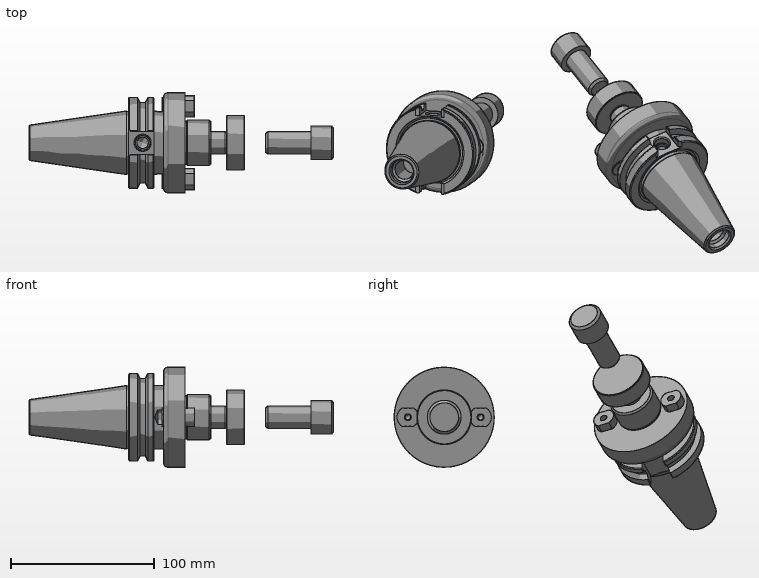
import cadquery as cq
import math


overall_length = 212.46

gauge_diameter = 44.45
taper_length = 68.25
taper_ratio = 7 / 24
small_diameter = gauge_diameter - taper_length * taper_ratio
small_end_chamfer = 0.9

grip_start = 69.4
grip_end = 87.3
grip_diameter = 63.5
grip_chamfer = 0.7
groove_centre = 79.35
groove_diameter = 56.36
groove_floor_width = 3.7
groove_mouth_width = 7.4
relief_diameter = 49.6
relief_floor_diameter = 46.8
relief_depth = 1.4
relief_neck_diameter = 43.8

slot_width = 16.0
slot_upper_floor = 24.9
slot_lower_floor = 22.5
slot_lead_in_side = 2.5
slot_lead_in_length = 1.5
slot_edge_chamfer = 0.6

slot_hole_diameter = 10.13
slot_hole_mouth = 11.94
slot_hole_depth = 5.5
slot_hole_pilot_diameter = 8.0
slot_hole_pilot_depth = 8.0
countersink_half_angle = 45
drill_half_angle = 59

collar_start = 93.9
collar_end = 108.9
collar_diameter = 69.85
collar_fillet = 3.2
pilot_end = 126.9
pilot_diameter = 31.74
pilot_groove_diameter = 30.22
pilot_groove_width = 1.0
pilot_back_chamfer_length = 0.7
pilot_chamfer = 1.2

bore_mouth_diameter = 18.2
bore_diameter = 16.46
bore_thread_diameter = 13.39
bore_chamfer_length = 1.5
bore_step = 5.5
bore_cone_end = 7.0
bore_depth = 28.0

key_offset = 25.35
key_head_diameter = 15.0
key_flat_width = 12.69
key_end = 115.3
key_stem_diameter = 12.69
key_stem_start = 92.9
key_hole_diameter = 4.83
key_drill_start = 90.0

lock_head_start = 137.7
lock_head_end = 150.4
lock_head_diameter = 38.1
lock_head_chamfer = 0.5
lock_shank_diameter = 15.75
lock_shank_length = 25.4
lock_undercut_diameter = 15.0
lock_undercut_width = 1.0

cap_head_length = 15.88
cap_head_diameter = 23.62
cap_head_chamfer_length = 1.5
cap_head_end_diameter = 20.0
cap_start = 164.8
cap_shank_diameter = 15.88
cap_tip_diameter = 12.69
cap_tip_length = 1.7


def turned(profile):
    """Solid of revolution about X from (x, radius) points; the axis closes the profile."""
    first_x, first_r = profile[0]
    last_x, last_r = profile[-1]
    points = list(profile)
    if first_r > 0:
        points.insert(0, (first_x, 0))
    if last_r > 0:
        points.append((last_x, 0))
    return cq.Workplane("XY").polyline(points).close().revolve(360, (0, 0, 0), (1, 0, 0))


def cylinder(start, end, diameter):
    return turned([(start, diameter / 2), (end, diameter / 2)])


def taper_body():
    """Taper, undercut neck inside the flange recess, and the straight core up to the collar."""
    r = small_diameter / 2
    relief_end = grip_start + relief_depth
    return turned([
        (0, r - small_end_chamfer),
        (small_end_chamfer, r + small_end_chamfer * taper_ratio / 2),
        (taper_length, gauge_diameter / 2),
        (taper_length, relief_neck_diameter / 2),
        (relief_end, relief_neck_diameter / 2),
        (relief_end, gauge_diameter / 2),
        (collar_start, gauge_diameter / 2),
    ])


def drive_slot(floor, side):
    """Slot cutter on the +Z (side = 1) or -Z (side = -1) flank, widened at its taper end."""
    half = slot_width / 2
    wide = half + slot_lead_in_side
    lead_in_end = grip_start + slot_lead_in_length
    outline = [
        (grip_start, -wide), (lead_in_end, -half), (grip_end, -half),
        (grip_end, half), (lead_in_end, half), (grip_start, wide),
    ]
    slot_plane = cq.Workplane("XY", origin=(0, 0, side * floor))
    slot = slot_plane.polyline(outline).close().extrude(side * (grip_diameter / 2 - floor))
    return slot.union(slot_edge_chamfers(side))


def slot_edge_chamfers(side):
    """Wedge along X whose 45 degree flanks bevel both outer edges of a drive slot."""
    grip_r = grip_diameter / 2
    bevel_y = slot_width / 2 + slot_edge_chamfer
    bevel_z = math.sqrt(grip_r ** 2 - bevel_y ** 2)
    rise = grip_r - bevel_z
    top_y = bevel_y + rise
    bottom_y = slot_width / 2
    bottom_z = bevel_z - slot_edge_chamfer
    outline = [
        (-bottom_y, side * bottom_z), (bottom_y, side * bottom_z),
        (top_y, side * grip_r), (-top_y, side * grip_r),
    ]
    wedge = cq.Workplane("YZ", origin=(grip_start, 0, 0)).polyline(outline).close()
    return wedge.extrude(grip_end - grip_start)


def grip_flange():
    r = grip_diameter / 2
    groove_r = groove_diameter / 2
    flange = turned([
        (grip_start, r - grip_chamfer),
        (grip_start + grip_chamfer, r),
        (groove_centre - groove_mouth_width / 2, r),
        (groove_centre - groove_floor_width / 2, groove_r),
        (groove_centre + groove_floor_width / 2, groove_r),
        (groove_centre + groove_mouth_width / 2, r),
        (grip_end - grip_chamfer, r),
        (grip_end, r - grip_chamfer),
    ])
    relief = turned([
        (grip_start, relief_diameter / 2),
        (grip_start + relief_depth, relief_floor_diameter / 2),
    ])
    flange = flange.cut(relief)
    flange = flange.cut(drive_slot(slot_upper_floor, 1))
    return flange.cut(drive_slot(slot_lower_floor, -1))


def collar():
    blank = cylinder(collar_start, collar_end, collar_diameter)
    return blank.faces("<X").edges().fillet(collar_fillet)


def cutter_pilot():
    groove_end = collar_end + pilot_groove_width
    pilot_r = pilot_diameter / 2
    return turned([
        (collar_end, pilot_groove_diameter / 2),
        (groove_end, pilot_groove_diameter / 2),
        (groove_end + pilot_back_chamfer_length, pilot_r),
        (pilot_end - pilot_chamfer, pilot_r),
        (pilot_end, pilot_r - pilot_chamfer),
    ])


def drawbar_bore():
    return turned([
        (0, bore_mouth_diameter / 2),
        (bore_chamfer_length, bore_diameter / 2),
        (bore_step, bore_diameter / 2),
        (bore_cone_end, bore_thread_diameter / 2),
        (bore_depth, bore_thread_diameter / 2),
    ])


def slot_hole():
    """Hole turned about a vertical axis: countersink, bore, smaller bore and drill point."""
    mouth_r = slot_hole_mouth / 2
    r = slot_hole_diameter / 2
    pilot_r = slot_hole_pilot_diameter / 2
    countersink_depth = (mouth_r - r) / math.tan(math.radians(countersink_half_angle))
    tip_depth = slot_hole_pilot_depth + pilot_r / math.tan(math.radians(drill_half_angle))
    profile = [
        (0, 0), (mouth_r, 0), (r, -countersink_depth), (r, -slot_hole_depth),
        (pilot_r, -slot_hole_depth), (pilot_r, -slot_hole_pilot_depth), (0, -tip_depth),
    ]
    cutter = cq.Workplane("XZ").polyline(profile).close().revolve(360, (0, 0, 0), (0, 1, 0))
    return cutter.translate((groove_centre, 0, slot_upper_floor))


def key_stem_hole(side):
    """Hole drilled from the front of the collar until its point runs out in the neck."""
    r = key_stem_diameter / 2
    tip = key_drill_start - r / math.tan(math.radians(drill_half_angle))
    cutter = turned([(tip, 0), (key_drill_start, r), (collar_end, r)])
    return cutter.translate((0, side * key_offset, 0))


def make_holder():
    holder = taper_body().union(grip_flange()).union(collar()).union(cutter_pilot())
    holder = holder.cut(drawbar_bore()).cut(slot_hole())
    for side in (-1, 1):
        holder = holder.cut(key_stem_hole(side))
    shank_start = lock_head_start - lock_shank_length
    return holder.cut(cylinder(shank_start, pilot_end, lock_shank_diameter))


def make_key(side):
    head = cylinder(collar_end, key_end, key_head_diameter)
    key_middle = (collar_end + key_end) / 2
    flats = cq.Workplane("XY", origin=(key_middle, 0, 0)).box(
        key_end - collar_end, key_head_diameter, key_flat_width
    )
    stem = cylinder(key_stem_start, collar_end, key_stem_diameter)
    key = head.intersect(flats).union(stem)
    key = key.cut(cylinder(key_stem_start, key_end, key_hole_diameter))
    return key.translate((0, side * key_offset, 0))


def make_lock_screw():
    shank_r = lock_shank_diameter / 2
    undercut_r = lock_undercut_diameter / 2
    undercut_start = lock_head_start - lock_undercut_width
    head_r = lock_head_diameter / 2
    return turned([
        (lock_head_start - lock_shank_length, shank_r),
        (undercut_start, shank_r),
        (undercut_start, undercut_r),
        (lock_head_start, undercut_r),
        (lock_head_start, head_r - lock_head_chamfer),
        (lock_head_start + lock_head_chamfer, head_r),
        (lock_head_end - lock_head_chamfer, head_r),
        (lock_head_end, head_r - lock_head_chamfer),
    ])


def make_cap_screw():
    head_start = overall_length - cap_head_length
    head_r = cap_head_diameter / 2
    shank_r = cap_shank_diameter / 2
    return turned([
        (cap_start, cap_tip_diameter / 2),
        (cap_start + cap_tip_length, shank_r),
        (head_start, shank_r),
        (head_start, head_r),
        (overall_length - cap_head_chamfer_length, head_r),
        (overall_length, cap_head_end_diameter / 2),
    ])


holder = make_holder()
keys = [make_key(side) for side in (-1, 1)]
lock_screw = make_lock_screw()
cap_screw = make_cap_screw()

result = cq.Compound.makeCompound([
    holder.val(),
    *[key.val() for key in keys],
    lock_screw.val(),
    cap_screw.val(),
])